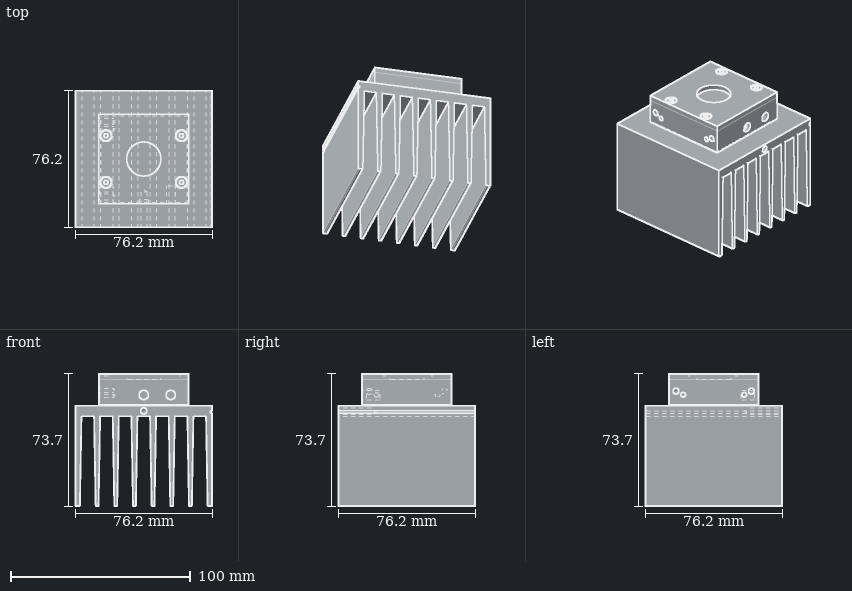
import cadquery as cq
import math

total_height = 73.65
sink_side = 76.2
sink_height = 56.0
pad_thickness = 0.4
plate_thickness = 3.0
block_side = 50.0
pad_inset = 1.0

pad_top = sink_height + pad_thickness
block_top = total_height - plate_thickness
block_height = block_top - pad_top
pad_side = block_side - 2 * pad_inset

base_thickness = 6.0
fin_count = 8
fin_root_thickness = 3.5
fin_draft_deg = 1.0
fin_tip_radius = 0.6
fin_pitch = (sink_side - fin_root_thickness) / (fin_count - 1)
fin_height = sink_height - base_thickness
fin_taper = fin_height * math.tan(math.radians(fin_draft_deg))

groove_radius = 0.65
groove_depth = 0.85
groove_z = 52.4

drill_point_deg = 118.0
sensor_hole_diameter = 3.5
sensor_hole_depth = 20.0
sensor_hole_z = sink_height - base_thickness / 2

large_side_hole_diameter = 3.3
large_side_hole_y = 21.0
large_side_hole_z = 64.0
small_side_hole_diameter = 2.6
small_side_hole_y = 17.0
small_side_hole_z = 62.0
side_hole_depth = 8.0

port_diameter = 5.2
port_z = 61.9
center_port_x = 0.0
center_port_depth = 2.5
offset_port_x = 15.0
offset_port_depth = 10.0

window_diameter = 19.0
screw_x = 21.0
screw_y = 13.0
countersink_diameter = 6.5
screw_head_diameter = 5.9
countersink_angle_deg = 90.0
socket_diameter = 2.3
socket_depth = 1.2
gap_width = (countersink_diameter - screw_head_diameter) / 2
gap_depth = gap_width / math.tan(math.radians(countersink_angle_deg / 2))

INTO_FRONT = cq.Vector(0, 1, 0)
INTO_LEFT = cq.Vector(1, 0, 0)


def fin(center_x, left_taper, right_taper):
    """One fin, hanging from the base, with its side faces drafted and its tip edges rounded."""
    half_root = fin_root_thickness / 2
    return (
        cq.Workplane("XZ", origin=(center_x, sink_side / 2, 0))
        .moveTo(-half_root, fin_height)
        .lineTo(half_root, fin_height)
        .lineTo(half_root - right_taper, 0)
        .lineTo(-half_root + left_taper, 0)
        .close()
        .extrude(sink_side)
        .faces("<Z")
        .edges("|Y")
        .fillet(fin_tip_radius)
    )


def drilled_hole(origin, direction, diameter, depth):
    """Cutter for a blind hole with a conical drill point, drilled from origin along direction."""
    radius = diameter / 2
    point_length = radius / math.tan(math.radians(drill_point_deg / 2))
    shank = cq.Solid.makeCylinder(radius, depth, origin, direction)
    point = cq.Solid.makeCone(radius, 0, point_length, origin + direction * depth, direction)
    return shank.fuse(point)


def heat_sink():
    """Square base with a row of fins below it, a side groove and a sensor hole in the front."""
    sink = cq.Workplane("XY", origin=(0, 0, fin_height)).box(
        sink_side, sink_side, base_thickness, centered=(True, True, False)
    )
    first_fin_x = -(sink_side - fin_root_thickness) / 2
    for index in range(fin_count):
        left_taper = 0 if index == 0 else fin_taper
        right_taper = 0 if index == fin_count - 1 else fin_taper
        sink = sink.union(fin(first_fin_x + index * fin_pitch, left_taper, right_taper))

    groove = (
        cq.Workplane("XZ", origin=(sink_side / 2, sink_side / 2, groove_z))
        .slot2D(2 * groove_depth, 2 * groove_radius)
        .extrude(sink_side)
    )
    sensor_hole = drilled_hole(
        cq.Vector(0, -sink_side / 2, sensor_hole_z), INTO_FRONT, sensor_hole_diameter, sensor_hole_depth
    )
    return sink.cut(groove).cut(cq.Workplane(sensor_hole))


def thermal_pad():
    """Thin pad, set in from the block outline, that carries the block on the heat sink."""
    return cq.Workplane("XY", origin=(0, 0, sink_height)).box(
        pad_side, pad_side, pad_thickness, centered=(True, True, False)
    )


def block():
    """Block with mirrored pairs of drilled holes on the left and two ports in the front."""
    body = cq.Workplane("XY", origin=(0, 0, pad_top)).box(
        block_side, block_side, block_height, centered=(True, True, False)
    )
    for side in (-1, 1):
        for diameter, y, z in (
            (large_side_hole_diameter, large_side_hole_y, large_side_hole_z),
            (small_side_hole_diameter, small_side_hole_y, small_side_hole_z),
        ):
            entry = cq.Vector(-block_side / 2, side * y, z)
            body = body.cut(cq.Workplane(drilled_hole(entry, INTO_LEFT, diameter, side_hole_depth)))
    for x, depth in ((center_port_x, center_port_depth), (offset_port_x, offset_port_depth)):
        entry = cq.Vector(x, -block_side / 2, port_z)
        body = body.cut(cq.Workplane(cq.Solid.makeCylinder(port_diameter / 2, depth, entry, INTO_FRONT)))
    return body


def screw_recess():
    """Cutter for the gap around a flush screw head in its countersink, plus the head's socket."""
    outer_radius = countersink_diameter / 2
    head_radius = screw_head_diameter / 2
    gap = (
        cq.Workplane("XZ")
        .polyline([(head_radius, 0), (outer_radius, 0), (head_radius, -gap_depth)])
        .close()
        .revolve(360, (0, 0, 0), (0, 1, 0))
    )
    socket = cq.Workplane("XY").circle(socket_diameter / 2).extrude(-socket_depth)
    return gap.union(socket)


def cover_plate():
    """Plate with a round window and four flush screws."""
    plate = (
        cq.Workplane("XY", origin=(0, 0, block_top))
        .box(block_side, block_side, plate_thickness, centered=(True, True, False))
        .faces(">Z")
        .workplane()
        .hole(window_diameter)
    )
    recess = screw_recess()
    for x in (-screw_x, screw_x):
        for y in (-screw_y, screw_y):
            plate = plate.cut(recess.translate((x, y, total_height)))
    return plate


result = heat_sink()
for layer in (thermal_pad(), block(), cover_plate()):
    result = result.union(layer, clean=False)